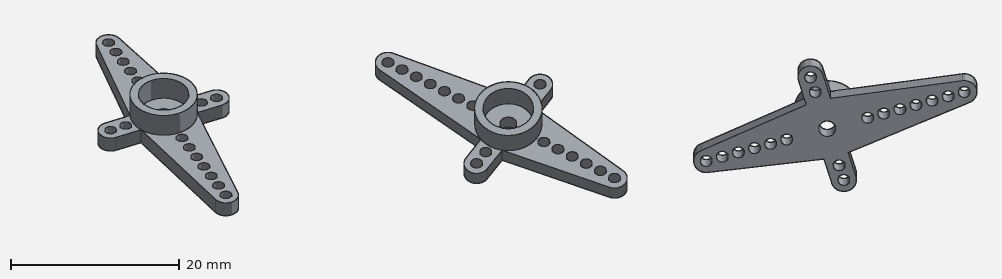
import cadquery as cq
import math

overall_length = 35.0
overall_width = 17.0
overall_height = 5.0
plate_thickness = 2.0
hub_diameter = 8.0
bore_diameter = 6.0
screw_hole_diameter = 2.0
arm_width = 3.0
hole_pitch = 2.0
link_hole_diameter = 1.4
left_hole_count = 6
right_hole_count = 7
cross_hole_count = 2

hub_radius = hub_diameter / 2
tip_radius = arm_width / 2
root_x = arm_width / 2
root_y = math.sqrt(hub_radius**2 - root_x**2)
tip_span = overall_length - arm_width
cross_tip = overall_width / 2 - tip_radius
right_tip = (tip_span + hole_pitch) / 2
left_tip = tip_span - right_tip


def tapered_arm(tip_distance, side):
    """Arm with straight edges from the root corners, tangent to the rounded tip."""
    root_distance = math.hypot(tip_distance - root_x, root_y)
    root_angle = math.atan2(root_y, root_x - tip_distance)
    tangent_angle = root_angle - math.acos(tip_radius / root_distance)
    tangent_x = side * (tip_distance + tip_radius * math.cos(tangent_angle))
    tangent_y = tip_radius * math.sin(tangent_angle)
    tip_end = side * (tip_distance + tip_radius)
    return (
        cq.Workplane("XY")
        .moveTo(0, root_y)
        .lineTo(side * root_x, root_y)
        .lineTo(tangent_x, tangent_y)
        .threePointArc((tip_end, 0), (tangent_x, -tangent_y))
        .lineTo(side * root_x, -root_y)
        .lineTo(0, -root_y)
        .close()
        .extrude(plate_thickness)
    )


def hole_row(tip_distance, count):
    """Distances of a row of holes from the hub axis, counted inward from the tip."""
    return [tip_distance - i * hole_pitch for i in range(count)]


cross_arm = cq.Workplane("XY").slot2D(overall_width, arm_width, 90).extrude(plate_thickness)
plate = tapered_arm(left_tip, -1).union(tapered_arm(right_tip, 1)).union(cross_arm)

hub = cq.Workplane("XY").circle(hub_radius).extrude(overall_height)
bore = (
    cq.Workplane("XY")
    .workplane(offset=plate_thickness)
    .circle(bore_diameter / 2)
    .extrude(overall_height - plate_thickness)
)
screw_hole = cq.Workplane("XY").circle(screw_hole_diameter / 2).extrude(plate_thickness)

hole_centers = [(-x, 0) for x in hole_row(left_tip, left_hole_count)]
hole_centers += [(x, 0) for x in hole_row(right_tip, right_hole_count)]
for y in hole_row(cross_tip, cross_hole_count):
    hole_centers += [(0, y), (0, -y)]
link_holes = (
    cq.Workplane("XY")
    .pushPoints(hole_centers)
    .circle(link_hole_diameter / 2)
    .extrude(plate_thickness)
)

result = plate.union(hub).cut(bore).cut(screw_hole).cut(link_holes)